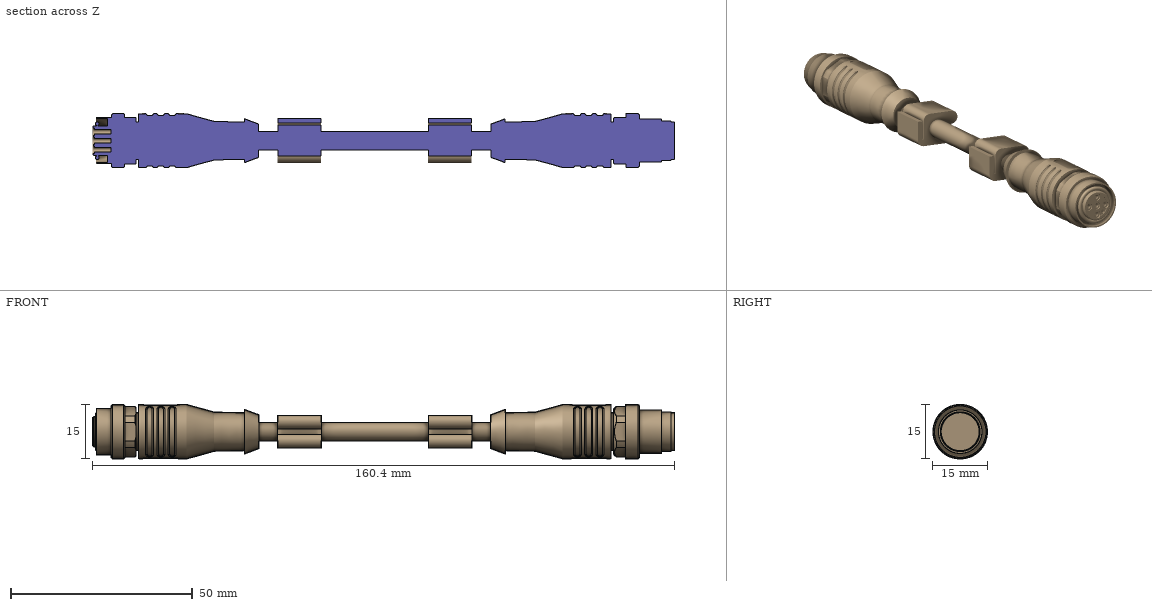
import cadquery as cq
import math

TOTAL_LENGTH = 160.4
CABLE_DIA = 5.2
GRIP_LENGTH = 33.2
FEMALE_HEAD_LENGTH = 12.6
MALE_HEAD_LENGTH = 17.5
CABLE_LENGTH = TOTAL_LENGTH - 2 * GRIP_LENGTH - FEMALE_HEAD_LENGTH - MALE_HEAD_LENGTH
OVERLAP = 1.0
TOLERANCE = 0.001

GRIP_DIA = 15.0
GRIP_LIP_DIA = 14.9
GRIP_LIP_LENGTH = 0.7
GRIP_STRAIGHT_LENGTH = 13.3
WAIST_START = 20.9
WAIST_DIA = 10.8
WAIST_END = 29.2
WAIST_END_DIA = 10.5
COLLAR_DIA = 12.3
GRIP_END_DIA = 9.3
GROOVE_WIDTH = 1.4
GROOVE_CHAMFER = 0.4
GROOVE_PITCH = 3.1
GROOVE_COUNT = 3
GROOVE_START = 3.1
GROOVE_DEPTH = 0.5
GROOVE_EDGE_Y = 3.2
PANEL_START = 0.9
PANEL_LENGTH = 10.4
PANEL_WIDTH = 2.6
PANEL_FLOOR_Z = 7.2

NECK_DIA = 10.5
RING_DIA = 15.0
RING_LENGTH = 3.8
RING_CHAMFER = 0.4
HEX_ACROSS_FLATS = 13.0
HEX_CORNER_DIA = 14.0
HEX_TURN = 30
NUT_GAP = 0.6

FEMALE_HEX_LENGTH = 3.1
FEMALE_HEX_CHAMFER = 0.4
SLEEVE_DIA = 12.8
SLEEVE_BORE_DIA = 12.0
SLEEVE_BORE_DEPTH = 3.0
SEAL_OUTER_DIA = 10.5
SEAL_X = 1.3
SEAL_SECTION_DIA = 1.15
INSERT_DIA = 8.3
INSERT_PROTRUSION = 1.0
INSERT_CHAMFER = 0.3
FACE_RECESS_DIA = 6.2
FACE_RECESS_DEPTH = 0.2
SOCKET_RING_RADIUS = 2.5
SOCKET_RECESS_DIA = 2.0
SOCKET_RECESS_DEPTH = 0.5
SOCKET_DIA = 1.15
SOCKET_DEPTH = 5.0
MARK_HOLE_DIA = 1.0
MARK_HOLE_DEPTH = 0.5

MALE_HEX_LENGTH = 3.4
MALE_HEX_CHAMFER = 0.8
THREAD_DIA = 12.0
THREAD_START = 3.6
PILOT_DIA = 10.95
TIP_DIA = 10.5
TIP_LENGTH = 1.0

CLIP_LENGTH = 12.0
CLIP_WIDTH = 12.3
CLIP_HEIGHT = 9.0
CLIP_OFFSET = 5.2
LOBE_RADIUS = 1.85
FLAP_THICKNESS = 1.3
FLAP_GAP = 0.5
FLAP_TOP_Z = 2.7
FLAP_FLOOR = 2.0
CLIP_CORNER_RADIUS = 1.8


def turned(profile):
    """Solid of revolution about X from (x, diameter) stations."""
    outline = [(profile[0][0], 0)]
    outline += [(x, dia / 2) for x, dia in profile]
    outline.append((profile[-1][0], 0))
    return cq.Workplane("XZ").polyline(outline).close().revolve(360, (0, 0, 0), (1, 0, 0))


def cylinder(x_start, x_end, dia, y=0.0, z=0.0):
    """Cylinder parallel to X."""
    return cq.Workplane("YZ", origin=(x_start, y, z)).circle(dia / 2).extrude(x_end - x_start)


def side_grooves():
    """Cutter for round-ended grooves on the -Y and +Y sides of a grip whose head end is at X = 0."""
    floor_dia = GRIP_DIA - 2 * GROOVE_DEPTH
    shell = cylinder(0, GRIP_STRAIGHT_LENGTH, GRIP_DIA + OVERLAP)
    shell = shell.cut(cylinder(0, GRIP_STRAIGHT_LENGTH, floor_dia))
    groove_height = 2 * math.sqrt((GRIP_DIA / 2) ** 2 - GROOVE_EDGE_Y ** 2)
    centres = [(GROOVE_START + i * GROOVE_PITCH, 0) for i in range(GROOVE_COUNT)]
    slots = (
        cq.Workplane("XZ")
        .pushPoints(centres)
        .slot2D(groove_height, GROOVE_WIDTH, 90)
        .extrude(GRIP_DIA, both=True)
    )
    return shell.intersect(slots)


def grooved_barrel():
    """Straight part of a grip, with its head end at X = 0 and chamfered side grooves."""
    barrel = turned([
        (0, GRIP_LIP_DIA),
        (GRIP_LIP_LENGTH, GRIP_DIA),
        (GRIP_STRAIGHT_LENGTH, GRIP_DIA),
    ]).cut(side_grooves())

    def is_groove_rim(edge):
        middle = edge.positionAt(0.5)
        on_surface = abs(math.hypot(middle.y, middle.z) - GRIP_DIA / 2) < TOLERANCE
        between_ends = GRIP_LIP_LENGTH + TOLERANCE < middle.x < GRIP_STRAIGHT_LENGTH - TOLERANCE
        return on_surface and between_ends and edge.geomType() != "LINE"

    return barrel.edges().filter(is_groove_rim).chamfer(GROOVE_CHAMFER)


def grip():
    """Moulded grip with its head end at X = 0 and its cable end at X = GRIP_LENGTH."""
    tail = turned([
        (GRIP_STRAIGHT_LENGTH, GRIP_DIA),
        (WAIST_START, WAIST_DIA),
        (WAIST_END, WAIST_END_DIA),
        (WAIST_END, COLLAR_DIA),
        (GRIP_LENGTH, GRIP_END_DIA),
    ])
    panel = (
        cq.Workplane("XY", origin=(PANEL_START + PANEL_LENGTH / 2, 0, PANEL_FLOOR_Z))
        .slot2D(PANEL_LENGTH, PANEL_WIDTH)
        .extrude(GRIP_DIA / 2)
    )
    return grooved_barrel().union(tail).cut(panel).cut(panel.mirror("XY"))


def nut(hex_length, hex_chamfer, ring_faces):
    """Neck, hexagon and ring in front of a grip whose head end is at X = 0.

    ring_faces selects the end faces of the ring that have a chamfered rim.
    """
    hex_end = -NUT_GAP
    ring_end = hex_end - hex_length
    ring_start = ring_end - RING_LENGTH
    hexagon = (
        cq.Workplane("YZ", origin=(ring_end, 0, 0))
        .polygon(6, HEX_ACROSS_FLATS / math.cos(math.pi / 6))
        .extrude(hex_length)
        .rotate((0, 0, 0), (1, 0, 0), HEX_TURN)
    )
    rounding = turned([
        (ring_end, HEX_CORNER_DIA),
        (hex_end - hex_chamfer, HEX_CORNER_DIA),
        (hex_end, HEX_CORNER_DIA - 2 * hex_chamfer),
    ])
    ring = cylinder(ring_start, ring_end, RING_DIA).faces(ring_faces).chamfer(RING_CHAMFER)
    neck = cylinder(ring_end - OVERLAP, OVERLAP, NECK_DIA)
    return hexagon.intersect(rounding).union(ring).union(neck)


def sockets():
    """Cutter for the insert's face at X = 0: round recess, five contact holes and a marking hole."""
    ring = SOCKET_RING_RADIUS
    places = [(0, 0), (ring, 0), (-ring, 0), (0, ring), (0, -ring)]
    mark = ring * math.cos(math.pi / 4)
    holes = cylinder(0, FACE_RECESS_DEPTH, FACE_RECESS_DIA)
    holes = holes.union(cylinder(0, MARK_HOLE_DEPTH, MARK_HOLE_DIA, -mark, -mark))
    for y, z in places:
        holes = holes.union(cylinder(0, SOCKET_RECESS_DEPTH, SOCKET_RECESS_DIA, y, z))
        holes = holes.union(cylinder(0, SOCKET_DEPTH, SOCKET_DIA, y, z))
    return holes


def female_head():
    """Socket sleeve and insert with the insert's face at X = 0."""
    sleeve_end = FEMALE_HEAD_LENGTH - NUT_GAP - FEMALE_HEX_LENGTH
    sleeve = cylinder(INSERT_PROTRUSION, sleeve_end, SLEEVE_DIA)
    gap_end = INSERT_PROTRUSION + SLEEVE_BORE_DEPTH
    bore = cylinder(INSERT_PROTRUSION, gap_end, SLEEVE_BORE_DIA)
    seal = cq.Workplane(cq.Solid.makeTorus(
        (SEAL_OUTER_DIA - SEAL_SECTION_DIA) / 2,
        SEAL_SECTION_DIA / 2,
        cq.Vector(SEAL_X, 0, 0),
        cq.Vector(1, 0, 0),
    ))
    insert = cylinder(0, sleeve_end, INSERT_DIA).faces("<X").chamfer(INSERT_CHAMFER)
    return sleeve.cut(bore).union(insert).union(seal).cut(sockets())


def male_head():
    """Threaded plug, with its thread as a plain cylinder and its tip at X = 0."""
    return turned([
        (0, TIP_DIA),
        (TIP_LENGTH, TIP_DIA),
        (TIP_LENGTH, PILOT_DIA),
        (THREAD_START, PILOT_DIA),
        (THREAD_START, THREAD_DIA),
        (MALE_HEAD_LENGTH - NUT_GAP - MALE_HEX_LENGTH, THREAD_DIA),
    ])


def clip():
    """Marker clip around the cable, starting at X = 0."""
    front_y = -CLIP_WIDTH / 2
    lobe_y = front_y + LOBE_RADIUS
    lobe_z = CLIP_HEIGHT / 2 - LOBE_RADIUS
    flap_y = CLIP_WIDTH / 2 - FLAP_THICKNESS
    block_y = flap_y - FLAP_GAP
    top_z = CLIP_HEIGHT / 2
    gap_floor_z = FLAP_FLOOR - top_z
    bend = CLIP_CORNER_RADIUS * (1 - math.sqrt(0.5))
    inner_lobe_z = lobe_z - LOBE_RADIUS
    outline = (
        cq.Workplane("YZ")
        .moveTo(lobe_y, top_z)
        .lineTo(block_y - CLIP_CORNER_RADIUS, top_z)
        .threePointArc((block_y - bend, top_z - bend), (block_y, top_z - CLIP_CORNER_RADIUS))
        .lineTo(block_y, gap_floor_z)
        .lineTo(flap_y, gap_floor_z)
        .lineTo(flap_y, FLAP_TOP_Z)
        .lineTo(CLIP_WIDTH / 2, FLAP_TOP_Z)
        .lineTo(CLIP_WIDTH / 2, CLIP_CORNER_RADIUS - top_z)
        .threePointArc(
            (CLIP_WIDTH / 2 - bend, bend - top_z),
            (CLIP_WIDTH / 2 - CLIP_CORNER_RADIUS, -top_z),
        )
        .lineTo(lobe_y, -top_z)
        .threePointArc((front_y, -lobe_z), (lobe_y, -inner_lobe_z))
        .lineTo(lobe_y, inner_lobe_z)
        .threePointArc((front_y, lobe_z), (lobe_y, top_z))
        .close()
    )
    return outline.extrude(CLIP_LENGTH)


cable_half = CABLE_LENGTH / 2
female_grip_x = -cable_half - GRIP_LENGTH
male_grip_x = cable_half + GRIP_LENGTH
clip_x = -cable_half + CLIP_OFFSET

female_end = grip().union(nut(FEMALE_HEX_LENGTH, FEMALE_HEX_CHAMFER, "|X"))
female_end = female_end.translate((female_grip_x, 0, 0))
male_end = grip().union(nut(MALE_HEX_LENGTH, MALE_HEX_CHAMFER, "<X"))
male_end = male_end.mirror("YZ").translate((male_grip_x, 0, 0))

result = cylinder(-cable_half - OVERLAP, cable_half + OVERLAP, CABLE_DIA)
result = result.union(clip().translate((clip_x, 0, 0)))
result = result.union(clip().translate((-clip_x - CLIP_LENGTH, 0, 0)))
result = result.union(female_end)
result = result.union(female_head().translate((female_grip_x - FEMALE_HEAD_LENGTH, 0, 0)))
result = result.union(male_end)
result = result.union(male_head().mirror("YZ").translate((male_grip_x + MALE_HEAD_LENGTH, 0, 0)))